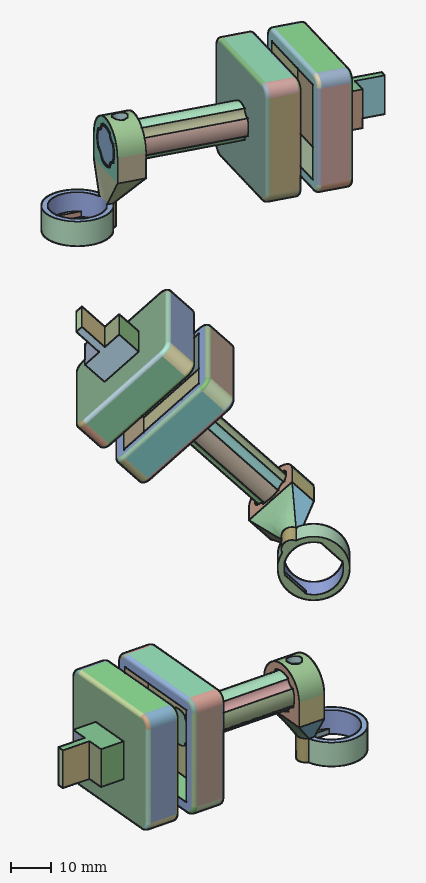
import cadquery as cq
import math


GAP = 4.3
HOUSING_SIDE = 32.55
HOUSING_DEPTH = 9.5
CORNER_RADIUS = 3.0
EDGE_RADIUS = 1.0
POCKET_SIDE = 26.1
POCKET_DEPTH = 7.0
FLOOR_THICKNESS = HOUSING_DEPTH - POCKET_DEPTH
HOUSING_OUTER_Y = GAP / 2 + HOUSING_DEPTH

TAIL_HEIGHT = 10.7
TAIL_BLOCK_WIDTH = 11.9
TAIL_BLOCK_LENGTH = 6.8
BLADE_WIDTH = 2.0
BLADE_LENGTH = 8.0

SHAFT_RADIUS = 5.5
FLUTE_RADIUS = 5.3 / 2
FLUTE_OFFSET = 7.5
FLUTE_COUNT = 4

CLAMP_RADIUS = 7.5
CLAMP_DEPTH = 7.6
CLAMP_BOTTOM_Z = -7.0
BORE_ENLARGEMENT = 1.0
SCREW_HOLE_DIAMETER = 4.0
RING_X = 0.3
RING_BORE_RADIUS = 14.6 / 2
RING_RADIUS = 8.9
RING_HEIGHT = 6.8
BOSS_RADIUS = 5.3 / 2
BOSS_OFFSET = 7.5
LEDGE_SPACING = 12.6
LEDGE_HEIGHT = 1.5

OVERALL_LENGTH = 90.7
OVERALL_HEIGHT = 37.9
TAIL_END_Y = HOUSING_OUTER_Y + TAIL_BLOCK_LENGTH + BLADE_LENGTH
RING_Y = TAIL_END_Y - OVERALL_LENGTH + RING_RADIUS
CLAMP_FRONT_Y = -47.7
CLAMP_BACK_Y = CLAMP_FRONT_Y + CLAMP_DEPTH
RING_BOTTOM_Z = HOUSING_SIDE / 2 - OVERALL_HEIGHT
RING_TOP_Z = RING_BOTTOM_Z + RING_HEIGHT


def fluted_bar(enlargement, front_y, back_y):
    """Bar along Y with concave flutes midway between X and Z, its section enlarged in proportion."""
    length = back_y - front_y
    plane = cq.Workplane("XZ", origin=(0, back_y, 0))
    bar = plane.circle(enlargement * SHAFT_RADIUS).extrude(length)
    flutes = (
        plane.polarArray(enlargement * FLUTE_OFFSET, 45, 360, FLUTE_COUNT)
        .circle(enlargement * FLUTE_RADIUS)
        .extrude(length)
    )
    return bar.cut(flutes)


def make_housing():
    """Rear housing, with its pocket opening toward -Y."""
    box = (
        cq.Workplane("XZ", origin=(0, HOUSING_OUTER_Y, 0))
        .rect(HOUSING_SIDE, HOUSING_SIDE)
        .extrude(HOUSING_DEPTH)
        .edges("|Y")
        .fillet(CORNER_RADIUS)
        .faces("<Y or >Y")
        .edges()
        .fillet(EDGE_RADIUS)
    )
    pocket = (
        cq.Workplane("XZ", origin=(0, GAP / 2 + POCKET_DEPTH, 0))
        .rect(POCKET_SIDE, POCKET_SIDE)
        .extrude(POCKET_DEPTH)
    )
    return box.cut(pocket)


def make_tail():
    """Block against the rear housing, narrowing to a blade of the same height."""
    block = (
        cq.Workplane("XZ", origin=(0, HOUSING_OUTER_Y, 0))
        .rect(TAIL_BLOCK_WIDTH, TAIL_HEIGHT)
        .extrude(-TAIL_BLOCK_LENGTH)
    )
    blade = (
        cq.Workplane("XZ", origin=(0, HOUSING_OUTER_Y + TAIL_BLOCK_LENGTH, 0))
        .rect(BLADE_WIDTH, TAIL_HEIGHT)
        .extrude(-BLADE_LENGTH)
    )
    return block.union(blade)


def make_shaft():
    """Fluted shaft from the clamp's front face through the front housing's pocket floor."""
    seat_y = FLOOR_THICKNESS - HOUSING_OUTER_Y
    return fluted_bar(0.9, CLAMP_FRONT_Y, seat_y)


def make_clamp():
    """Round-topped block that carries the neck."""
    return (
        cq.Workplane("XZ", origin=(0, CLAMP_BACK_Y, 0))
        .moveTo(-CLAMP_RADIUS, CLAMP_BOTTOM_Z)
        .lineTo(-CLAMP_RADIUS, 0)
        .threePointArc((0, CLAMP_RADIUS), (CLAMP_RADIUS, 0))
        .lineTo(CLAMP_RADIUS, CLAMP_BOTTOM_Z)
        .close()
        .extrude(CLAMP_DEPTH)
    )


def make_neck():
    """Ruled taper from the clamp's underside to its foot on top of the ring."""
    corner_y = (RING_RADIUS**2 + BOSS_OFFSET**2 - BOSS_RADIUS**2) / (2 * BOSS_OFFSET)
    corner_x = math.sqrt(RING_RADIUS**2 - corner_y**2)
    bore_y = math.sqrt(RING_BORE_RADIUS**2 - corner_x**2)
    top = (
        cq.Workplane("XY", origin=(0, 0, CLAMP_BOTTOM_Z))
        .moveTo(-CLAMP_RADIUS, CLAMP_FRONT_Y)
        .lineTo(CLAMP_RADIUS, CLAMP_FRONT_Y)
        .lineTo(CLAMP_RADIUS, CLAMP_BACK_Y)
        .lineTo(-CLAMP_RADIUS, CLAMP_BACK_Y)
        .close()
    )
    foot = (
        cq.Workplane("XY", origin=(RING_X, RING_Y, RING_TOP_Z))
        .moveTo(-corner_x, bore_y)
        .threePointArc((0, RING_BORE_RADIUS), (corner_x, bore_y))
        .lineTo(corner_x, corner_y)
        .threePointArc((0, BOSS_OFFSET + BOSS_RADIUS), (-corner_x, corner_y))
        .close()
    )
    taper = cq.Solid.makeLoft([top.wire().val(), foot.wire().val()], True)
    return cq.Workplane(taper)


def make_ring():
    """Ring with a round boss at the back and two low ledges facing each other across the bore."""
    base = cq.Workplane("XY", origin=(RING_X, RING_Y, RING_BOTTOM_Z))
    disc = base.circle(RING_RADIUS).extrude(RING_HEIGHT)
    boss = base.center(0, BOSS_OFFSET).circle(BOSS_RADIUS).extrude(RING_HEIGHT)
    bore = base.circle(RING_BORE_RADIUS).extrude(RING_HEIGHT)
    gap = base.rect(LEDGE_SPACING, 2 * RING_RADIUS).extrude(LEDGE_HEIGHT)
    ledges = base.circle(RING_BORE_RADIUS).extrude(LEDGE_HEIGHT).cut(gap)
    return disc.union(boss).cut(bore).union(ledges)


def make_holder():
    """Clamp, neck and ring in one piece, with the shaft bore and the set-screw hole."""
    shaft_bore = fluted_bar(BORE_ENLARGEMENT, CLAMP_FRONT_Y, CLAMP_BACK_Y)
    screw_hole = (
        cq.Workplane("XY", origin=(0, (CLAMP_FRONT_Y + CLAMP_BACK_Y) / 2, 0))
        .circle(SCREW_HOLE_DIAMETER / 2)
        .extrude(CLAMP_RADIUS)
    )
    solid = make_clamp().union(make_neck()).union(make_ring())
    return solid.cut(shaft_bore).cut(screw_hole)


shaft = make_shaft()
rear_housing = make_housing()
front_housing = rear_housing.mirror("XZ").cut(shaft)
tail = make_tail()
holder = make_holder()

result = cq.Compound.makeCompound(
    [rear_housing.val(), front_housing.val(), tail.val(), shaft.val(), holder.val()]
)